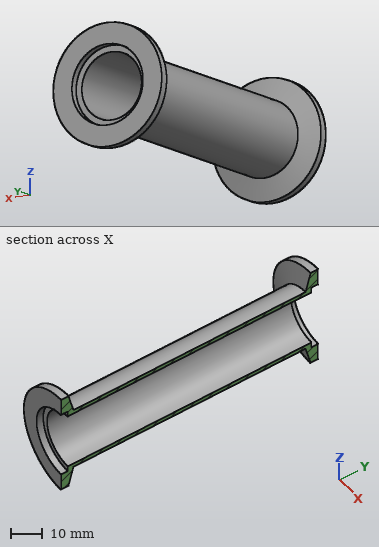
import cadquery as cq
import math

length = 100
tube_diameter = 25.4
bore_diameter = 22
flange_diameter = 40
rim_thickness = 3
taper_angle = 15
recess_diameter = 26.2
recess_depth = 2.6

tube_radius = tube_diameter / 2
flange_radius = flange_diameter / 2
taper_length = (flange_radius - tube_radius) * math.tan(math.radians(taper_angle))
end_y = length / 2
rim_y = end_y - rim_thickness
taper_y = rim_y - taper_length


def cylinder_along_y(diameter, start_y, height):
    """Cylinder on the Y axis running from start_y toward +Y."""
    plane = cq.Plane(origin=(0, start_y, 0), xDir=(1, 0, 0), normal=(0, 1, 0))
    return cq.Workplane(plane).circle(diameter / 2).extrude(height)


body = (
    cq.Workplane("XY")
    .polyline([
        (0, -end_y),
        (flange_radius, -end_y),
        (flange_radius, -rim_y),
        (tube_radius, -taper_y),
        (tube_radius, taper_y),
        (flange_radius, rim_y),
        (flange_radius, end_y),
        (0, end_y),
    ])
    .close()
    .revolve(360, (0, 0, 0), (0, 1, 0))
)

body = body.cut(cylinder_along_y(bore_diameter, -end_y, length))

for recess_start in (-end_y, end_y - recess_depth):
    body = body.cut(cylinder_along_y(recess_diameter, recess_start, recess_depth))

result = body